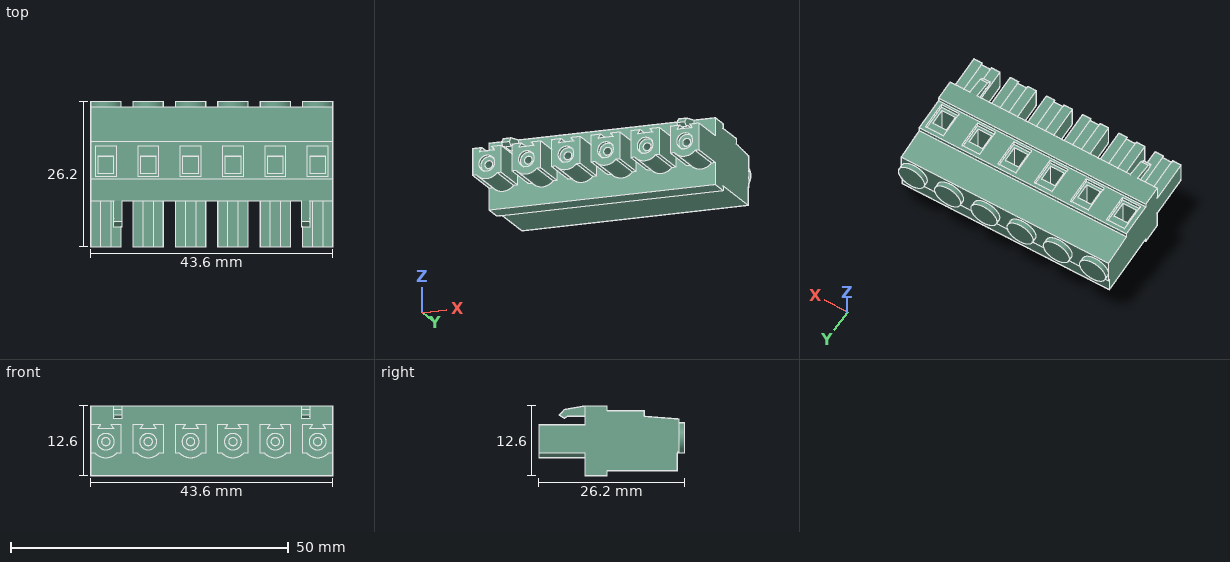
import cadquery as cq


ways = 6
length = 43.6
plug_width = 5.5
pitch = (length - plug_width) / (ways - 1)
way_xs = [(i - (ways - 1) / 2) * pitch for i in range(ways)]

height = 12.6
flange_depth = 4.0
flange_lip = 0.87
deck_z = height - flange_lip
deck_length = 6.7
deck_back_y = flange_depth + deck_length
slope_front_z = 10.73
slope_back_z = 10.25
slope_length = 6.25
back_y = deck_back_y + slope_length
undercut = 0.3
undercut_z = 4.3

screw_diameter = plug_width
screw_projection = 1.0
screw_z = 6.85

entry_width = 3.75
entry_length = 5.5
entry_depth = 0.87
entry_gap = 0.45
entry_front_y = flange_depth + entry_gap
throat_width = 2.85
throat_length = 3.15
throat_depth = 6.55
throat_taper = 0.15
throat_ledge = 0.55
throat_front_y = entry_front_y + throat_ledge

plug_length = 8.3
plug_top_z = 9.2
plug_shoulder_z = 4.15
plug_bottom_z = 3.23
bulge_width = 4.0
groove_mouth = 1.87
groove_floor = 2.88
groove_depth = 0.7
socket_z = 6.15
socket_diameter = 3.0
socket_depth = 1.0
bore_diameter = 1.5
bore_depth = 5.25

latch_width = 1.53
latch_inset = 4.15
latch_underside_drop = 1.9
latch_nose_y = -3.65
latch_nose_drop = 0.65
latch_tip_y = -4.6
latch_tip_drop = 1.65
latch_barb_y = -3.7
latch_barb_drop = 2.25
latch_barb_root_y = -3.15


def make_housing():
    """Flange, deck and sloped rear, extruded along the row."""
    profile = [
        (0, 0),
        (flange_depth, 0),
        (flange_depth, flange_lip),
        (back_y - undercut, flange_lip),
        (back_y - undercut, undercut_z),
        (back_y, undercut_z),
        (back_y, slope_back_z),
        (deck_back_y, slope_front_z),
        (deck_back_y, deck_z),
        (flange_depth, deck_z),
        (flange_depth, height),
        (0, height),
    ]
    return cq.Workplane("YZ").polyline(profile).close().extrude(length / 2, both=True)


def make_screw(x):
    """Round screw head rooted in the housing behind the undercut."""
    return (
        cq.Workplane("XZ", origin=(x, back_y + screw_projection, screw_z))
        .circle(screw_diameter / 2)
        .extrude(screw_projection + undercut)
    )


def make_entry(x):
    """Shallow rectangular recess with a deeper throat whose rear wall leans forward."""
    throat_top_z = deck_z - entry_depth
    recess = (
        cq.Workplane("XY", origin=(x, entry_front_y, throat_top_z))
        .box(entry_width, entry_length, entry_depth, centered=(True, False, False))
    )
    throat_floor_z = throat_top_z - throat_depth
    throat_back_y = throat_front_y + throat_length
    throat = (
        cq.Workplane("YZ", origin=(x, 0, 0))
        .moveTo(throat_front_y, throat_top_z)
        .lineTo(throat_front_y, throat_floor_z)
        .lineTo(throat_back_y - throat_taper, throat_floor_z)
        .lineTo(throat_back_y, throat_top_z)
        .close()
        .extrude(throat_width / 2, both=True)
    )
    return recess.union(throat)


def make_plug(x):
    """Plug with a dovetail groove on top, a rounded belly and a stepped socket."""
    half_width = plug_width / 2
    groove_z = plug_top_z - groove_depth
    body = (
        cq.Workplane("XZ", origin=(x, 0, 0))
        .moveTo(-half_width, plug_top_z)
        .lineTo(-groove_mouth / 2, plug_top_z)
        .lineTo(-groove_floor / 2, groove_z)
        .lineTo(groove_floor / 2, groove_z)
        .lineTo(groove_mouth / 2, plug_top_z)
        .lineTo(half_width, plug_top_z)
        .lineTo(half_width, plug_shoulder_z)
        .lineTo(bulge_width / 2, plug_shoulder_z)
        .threePointArc((0, plug_bottom_z), (-bulge_width / 2, plug_shoulder_z))
        .lineTo(-half_width, plug_shoulder_z)
        .close()
        .extrude(plug_length)
    )
    mouth = cq.Workplane("XZ", origin=(x, -plug_length, socket_z))
    socket = mouth.circle(socket_diameter / 2).extrude(-socket_depth)
    bore = mouth.circle(bore_diameter / 2).extrude(-bore_depth)
    return body.cut(socket).cut(bore)


def make_latch(x):
    """Barbed latch arm reaching forward from the top of the flange."""
    profile = [
        (0, height),
        (latch_nose_y, height - latch_nose_drop),
        (latch_tip_y, height - latch_tip_drop),
        (latch_barb_y, height - latch_barb_drop),
        (latch_barb_root_y, height - latch_underside_drop),
        (0, height - latch_underside_drop),
    ]
    return (
        cq.Workplane("YZ", origin=(x, 0, 0))
        .polyline(profile)
        .close()
        .extrude(latch_width / 2, both=True)
    )


result = make_housing()
for way_x in way_xs:
    result = result.union(make_screw(way_x))
    result = result.union(make_plug(way_x))
    result = result.cut(make_entry(way_x))

latch_x = length / 2 - latch_inset - latch_width / 2
for side in (-1, 1):
    result = result.union(make_latch(side * latch_x))